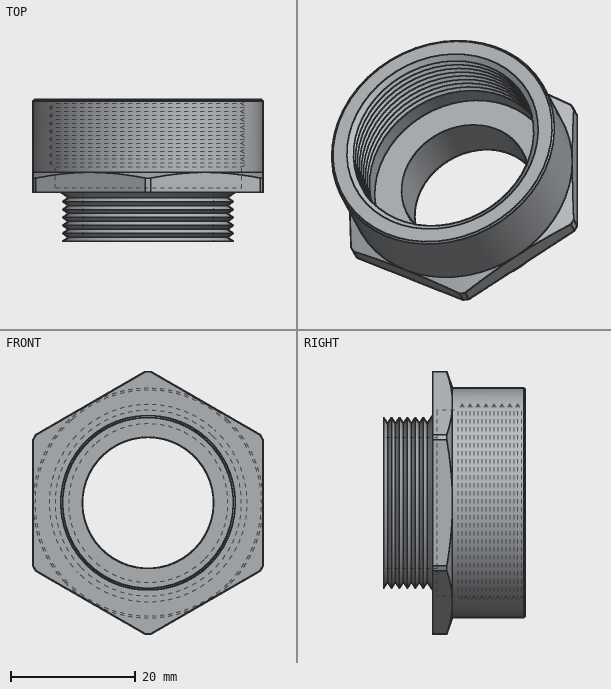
import cadquery as cq
import math

total_length = 22.86
across_flats = 37.08
hex_corner_diameter = 42.28
hex_thickness = 3.2
hex_bevel_height = 0.91
body_edge_chamfer = 0.3

stub_length = 7.9
bore_diameter = 21.1

thread_pitch = 1.28
thread_depth = 0.93

male_crest_radius = 13.75
male_ridge_count = 6
neck_radius = 14.07

female_crest_radius = 15.0
female_ridge_count = 9
socket_depth = 14.26

hex_half_angle = 30
body_radius = across_flats / 2
hex_corner_radius = hex_corner_diameter / 2
hex_back = stub_length + hex_thickness
socket_floor = total_length - socket_depth


def revolve_about_y(outline):
    """Revolve a closed (radius, y) outline around the Y axis, with its seam on the +Z side."""
    axial_outline = [(y, radius) for radius, y in outline]
    return cq.Workplane("YZ").polyline(axial_outline).close().revolve(360, (0, 0, 0), (1, 0, 0))


def make_hex_flange():
    """Hexagon with flats facing +X and -X, corners turned round and back face bevelled."""
    circumscribed_diameter = across_flats / math.cos(math.radians(hex_half_angle))
    hexagon = (
        cq.Workplane("XZ")
        .transformed(rotate=(0, 0, hex_half_angle))
        .polygon(6, circumscribed_diameter)
        .extrude(-hex_thickness)
        .translate((0, stub_length, 0))
    )
    turned_envelope = revolve_about_y(
        [
            (0, stub_length),
            (hex_corner_radius, stub_length),
            (hex_corner_radius, hex_back - hex_bevel_height),
            (body_radius, hex_back),
            (0, hex_back),
        ]
    )
    return hexagon.intersect(turned_envelope)


def make_body():
    """Cylindrical body behind the hexagon with a small edge chamfer."""
    return revolve_about_y(
        [
            (0, hex_back),
            (body_radius, hex_back),
            (body_radius, total_length - body_edge_chamfer),
            (body_radius - body_edge_chamfer, total_length),
            (0, total_length),
        ]
    )


def make_male_stub():
    """Stub with sharp ridges, flaring out from its last root to the neck at the hexagon."""
    male_root_radius = male_crest_radius - thread_depth
    outline = [(0, 0)]
    for ridge in range(male_ridge_count):
        crest_y = ridge * thread_pitch
        outline.append((male_crest_radius, crest_y))
        outline.append((male_root_radius, crest_y + thread_pitch / 2))
    outline.append((neck_radius, stub_length))
    outline.append((0, stub_length))
    return revolve_about_y(outline)


def make_female_socket():
    """Cutter for the socket: thread from the open end, then a plain length down to the floor."""
    female_root_radius = female_crest_radius + thread_depth
    outline = [(0, total_length)]
    for ridge in range(female_ridge_count):
        root_y = total_length - ridge * thread_pitch
        outline.append((female_root_radius, root_y))
        outline.append((female_crest_radius, root_y - thread_pitch / 2))
    outline.append((female_crest_radius, socket_floor))
    outline.append((0, socket_floor))
    return revolve_about_y(outline)


def make_bore():
    """Cutter for the plain through bore."""
    bore_radius = bore_diameter / 2
    return revolve_about_y([(0, 0), (bore_radius, 0), (bore_radius, total_length), (0, total_length)])


result = make_hex_flange().union(make_body()).union(make_male_stub())
result = result.cut(make_female_socket()).cut(make_bore())